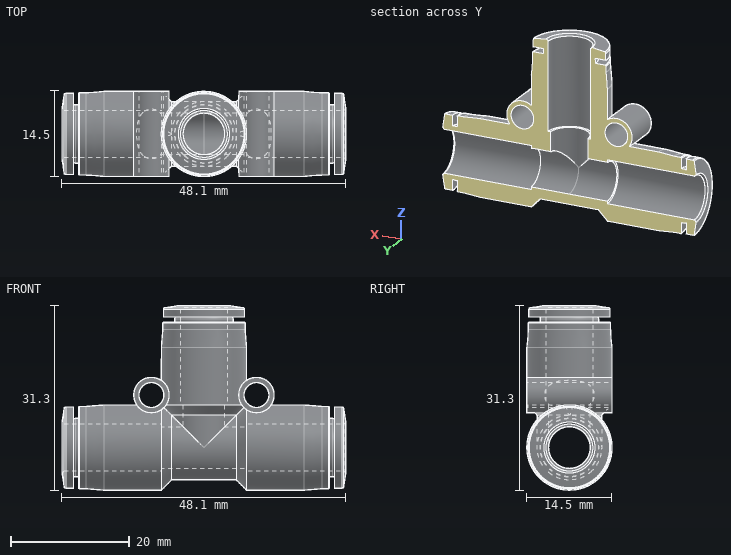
import cadquery as cq

PORT_REACH = 24.05

BODY_RADIUS = 14.5 / 2
BODY_END_RADIUS = 14.0 / 2
WAIST_RADIUS = 5.5
SHOULDER = 7.2
TAPER_START = 16.95
TAPER_END = 19.95
BODY_END = 21.25
BODY_END_CHAMFER = 0.15

COLLAR_RADIUS = 13.8 / 2
COLLAR_INNER = 22.1
COLLAR_RIM = 23.65
COLLAR_FACE_RADIUS = 4.35
RIM_CHAMFER_HEIGHT = 0.3
RIM_CHAMFER_WIDTH = 0.1
STEM_RADIUS = 9.95 / 2
STEM_NECK_RADIUS = 4.9
STEM_STEP = 21.8

BORE_RADIUS = 7.0 / 2
SOCKET_RADIUS = 7.95 / 2
SOCKET_FLOOR = SHOULDER
LEAD_IN = COLLAR_FACE_RADIUS - SOCKET_RADIUS

TUBE_OFFSET = 8.9
TUBE_RADIUS = 6.0 / 2
TUBE_HOLE_RADIUS = 4.2 / 2
TUBE_LENGTH = 2 * BODY_RADIUS


def revolve_about_z(points):
    """Revolve a closed (radius, height) outline about the Z axis."""
    return cq.Workplane("XZ").polyline(points).close().revolve(360, (0, 0, 0), (0, 1, 0))


def port_solid():
    """Outer form of one leg, from the tee centre to its collar face."""
    return revolve_about_z([
        (0, 0),
        (WAIST_RADIUS, 0),
        (WAIST_RADIUS, WAIST_RADIUS),
        (BODY_RADIUS, SHOULDER),
        (BODY_RADIUS, TAPER_START),
        (BODY_END_RADIUS, TAPER_END),
        (BODY_END_RADIUS, BODY_END - BODY_END_CHAMFER),
        (BODY_END_RADIUS - BODY_END_CHAMFER, BODY_END),
        (STEM_RADIUS, BODY_END),
        (STEM_RADIUS, STEM_STEP),
        (STEM_NECK_RADIUS, COLLAR_INNER),
        (COLLAR_RADIUS, COLLAR_INNER),
        (COLLAR_RADIUS, COLLAR_RIM - RIM_CHAMFER_HEIGHT),
        (COLLAR_RADIUS - RIM_CHAMFER_WIDTH, COLLAR_RIM),
        (COLLAR_FACE_RADIUS, PORT_REACH),
        (0, PORT_REACH),
    ])


def port_bore():
    """Bore of one leg, with its tube socket and a chamfered mouth."""
    return revolve_about_z([
        (0, 0),
        (BORE_RADIUS, 0),
        (BORE_RADIUS, SOCKET_FLOOR),
        (SOCKET_RADIUS, SOCKET_FLOOR),
        (SOCKET_RADIUS, PORT_REACH - LEAD_IN),
        (COLLAR_FACE_RADIUS, PORT_REACH),
        (0, PORT_REACH),
    ])


def tee(leg):
    """Place a Z-directed leg along +Z, +X and -X."""
    half_run = leg.rotate((0, 0, 0), (0, 1, 0), 90)
    run = half_run.union(half_run.mirror("YZ")).clean()
    return run.union(leg)


def tube_cylinders(radius):
    """Cylinders along Y at both mounting tube positions."""
    return (
        cq.Workplane("XZ", origin=(0, TUBE_LENGTH / 2, 0))
        .pushPoints([(-TUBE_OFFSET, TUBE_OFFSET), (TUBE_OFFSET, TUBE_OFFSET)])
        .circle(radius)
        .extrude(TUBE_LENGTH)
    )


outer = tee(port_solid()).union(tube_cylinders(TUBE_RADIUS))
result = outer.cut(tee(port_bore())).cut(tube_cylinders(TUBE_HOLE_RADIUS)).clean()